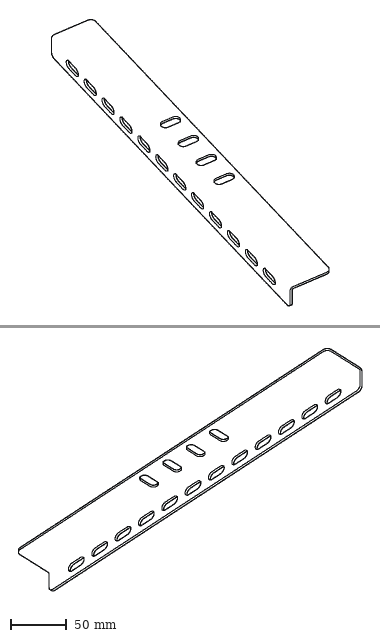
import cadquery as cq

length = 400.0
depth = 44.0
height = 24.5

thickness = 2.5
inner_bend_radius = 1.0
outer_bend_radius = inner_bend_radius + thickness
corner_radius = 5.0

slot_length = 20.0
slot_width = 9.0
slot_pitch = 30.0
front_slot_count = 12
top_slot_count = 4
front_slot_edge_distance = 11.5
top_slot_edge_distance = 15.55


def make_folded_sheet():
    """L-section with its outer bend line at Y = 0, Z = height, centred on X = 0."""
    outer = cq.Workplane("XY").box(length, depth, height, centered=(True, False, False))
    outer = outer.edges("|X and <Y and >Z").fillet(outer_bend_radius)
    inner = (
        cq.Workplane("XY")
        .box(length, depth - thickness, height - thickness, centered=(True, False, False))
        .edges("|X and <Y and >Z")
        .fillet(inner_bend_radius)
        .translate((0, thickness, 0))
    )
    return outer.cut(inner)


def round_free_corners(sheet):
    """Round the two free corners of each flange."""
    sheet = sheet.edges("|Z and >Y").fillet(corner_radius)
    return sheet.edges("|Y and <Z").fillet(corner_radius)


def slot_row_centres(count, offset):
    """Evenly spaced slot centres along X, symmetric about the middle of the part."""
    return [((i - (count - 1) / 2) * slot_pitch, offset) for i in range(count)]


def make_front_slots():
    """Slots through the front flange, long side along X."""
    centres = slot_row_centres(front_slot_count, front_slot_edge_distance)
    return (
        cq.Workplane("XZ")
        .pushPoints(centres)
        .slot2D(slot_length, slot_width)
        .extrude(-thickness)
    )


def make_top_slots():
    """Slots through the top flange, long side along Y."""
    centres = slot_row_centres(top_slot_count, depth - top_slot_edge_distance)
    return (
        cq.Workplane("XY")
        .workplane(offset=height - thickness)
        .pushPoints(centres)
        .slot2D(slot_length, slot_width, 90)
        .extrude(thickness)
    )


sheet = round_free_corners(make_folded_sheet())
result = sheet.cut(make_front_slots()).cut(make_top_slots())